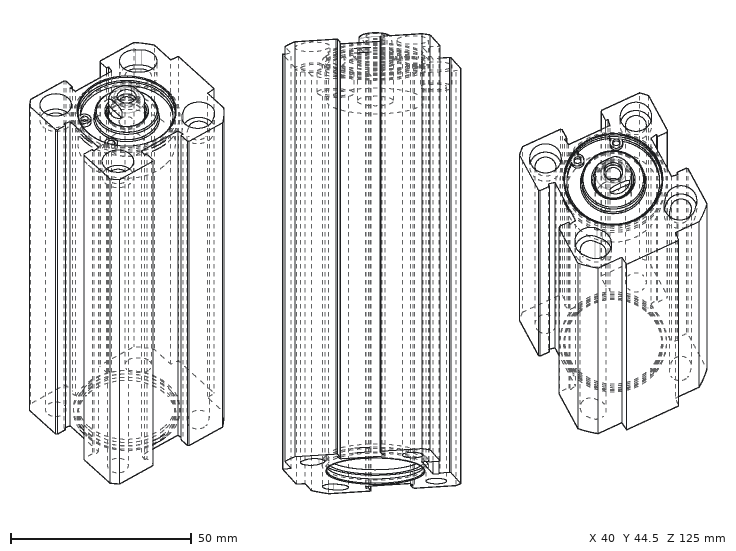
import cadquery as cq
import math


total_height = 125.0
barrel_width = 40.0
rod_projection = 5.8
barrel_height = total_height - rod_projection
half_width = barrel_width / 2

corner_radius = 27.0
back_face_y = 22.0
rib_face_y = 24.5
rib_face_width = 16.1
rib_base_width = 16.6

groove_depth = 5.1
groove_lip = 3.2
groove_mouth_width = 12.0
groove_lip_width = 13.5
groove_floor_width = 12.8
groove_edge_chamfer = 0.4

hole_pitch = 28.0
hole_diameter = 5.8
counterbore_diameter = 8.8
counterbore_depth = 6.0
back_slot_shift_x = 1.0
back_slot_shift_y = 1.2

bore_diameter = 27.0
bore_mouth_chamfer = 0.2
collar_length = 10.0
bottom_recess_floor = 1.2

ring_depth = 1.5
ring_thickness = 1.4
ring_outer_diameter = 29.5
ring_inner_diameter = 25.8
ring_gap_half_angle = 22.0
ear_diameter = 3.6
ear_hole_diameter = 2.0
ear_x = 6.0
ear_y = -10.1

boss_diameter = 17.5
boss_edge = 0.4
wiper_diameter = 11.4
wiper_mouth_chamfer = 0.4
wiper_depth = 1.0
seal_diameter = 10.5
seal_depth = 2.0

rod_diameter = 10.0
rod_end_fillet = 1.5
across_flats = 8.0
flat_length = 3.6
thread_relief_diameter = 5.2
thread_relief_depth = 1.6
thread_diameter = 4.1
thread_depth = 10.0
drill_point_angle = 118.0

ring_bottom_z = barrel_height - ring_depth - ring_thickness
recess_bottom_z = ring_bottom_z - collar_length
flat_depth = (rod_diameter - across_flats) / 2


def cylinder(diameter, bottom_z, height):
    return cq.Workplane("XY").workplane(offset=bottom_z).circle(diameter / 2).extrude(height)


def barrel_blank():
    block = (
        cq.Workplane("XY")
        .rect(barrel_width, half_width + back_face_y)
        .extrude(barrel_height)
        .translate((0, (back_face_y - half_width) / 2, 0))
    )
    rounded = block.intersect(cylinder(2 * corner_radius, 0, barrel_height))
    rib = (
        cq.Workplane("XY")
        .polyline([
            (-rib_base_width / 2, 0),
            (-rib_base_width / 2, back_face_y),
            (-rib_face_width / 2, rib_face_y),
            (rib_face_width / 2, rib_face_y),
            (rib_base_width / 2, back_face_y),
            (rib_base_width / 2, 0),
        ])
        .close()
        .extrude(barrel_height)
    )
    return rounded.union(rib)


def side_groove(angle):
    """Cutter for a groove open on the -Y side, turned about the rod axis by angle."""
    lip_y = -half_width + groove_lip
    floor_y = -half_width + groove_depth
    right_half = [
        (groove_mouth_width / 2 + groove_edge_chamfer, -half_width),
        (groove_mouth_width / 2, -half_width + groove_edge_chamfer),
        (groove_mouth_width / 2, lip_y),
        (groove_lip_width / 2, lip_y),
        (groove_floor_width / 2, floor_y),
    ]
    left_half = [(-x, y) for x, y in reversed(right_half)]
    groove = cq.Workplane("XY").polyline(right_half + left_half).close().extrude(barrel_height)
    return groove.rotate((0, 0, 0), (0, 0, 1), angle)


def slotted_cutter(diameter, start, end, bottom_z, height):
    """Cylinder swept in a straight line from start to end; a plain cylinder if they coincide."""
    length = math.dist(start, end)
    if length == 0:
        return cylinder(diameter, bottom_z, height).translate((*start, 0))
    angle = math.degrees(math.atan2(end[1] - start[1], end[0] - start[0]))
    middle = ((start[0] + end[0]) / 2, (start[1] + end[1]) / 2)
    return (
        cq.Workplane("XY")
        .workplane(offset=bottom_z)
        .center(*middle)
        .slot2D(length + diameter, diameter, angle)
        .extrude(height)
    )


def mounting_hole(side_x, side_y):
    """Cutter for one counterbored hole; the two at the back (+Y) are short slanted slots."""
    start = (side_x * hole_pitch / 2, side_y * hole_pitch / 2)
    end = start
    if side_y > 0:
        end = (start[0] - side_x * back_slot_shift_x, start[1] + back_slot_shift_y)
    through = slotted_cutter(hole_diameter, start, end, 0, barrel_height)
    seat_z = barrel_height - counterbore_depth
    return through.union(slotted_cutter(counterbore_diameter, start, end, seat_z, counterbore_depth))


def end_recess(depth_below_ring):
    """Cutter for a recess in the top end: bevelled mouth, ring groove and bore."""
    bore = bore_diameter / 2
    groove = ring_outer_diameter / 2
    ring_top_z = ring_bottom_z + ring_thickness
    return (
        cq.Workplane("XZ")
        .polyline([
            (0, barrel_height),
            (bore + bore_mouth_chamfer, barrel_height),
            (bore, barrel_height - bore_mouth_chamfer),
            (bore, ring_top_z),
            (groove, ring_top_z),
            (groove, ring_bottom_z),
            (bore, ring_bottom_z),
            (bore, ring_bottom_z - depth_below_ring),
            (0, ring_bottom_z - depth_below_ring),
        ])
        .close()
        .revolve(360, (0, 0), (0, 1))
    )


def make_barrel():
    barrel = barrel_blank()
    for angle in (0, 90, -90):
        barrel = barrel.cut(side_groove(angle))
    for side_x in (-1, 1):
        for side_y in (-1, 1):
            barrel = barrel.cut(mounting_hole(side_x, side_y))
    mid_height = (0, 0, barrel_height / 2)
    top_recess = end_recess(collar_length)
    bottom_recess = end_recess(bottom_recess_floor).mirror("XY", basePointVector=mid_height)
    return barrel.cut(top_recess).cut(bottom_recess)


def make_ring():
    ring = cylinder(ring_outer_diameter, ring_bottom_z, ring_thickness)
    ring = ring.cut(cylinder(ring_inner_diameter, ring_bottom_z, ring_thickness))
    gap_reach = 2 * ring_outer_diameter
    gap_half_width = gap_reach * math.tan(math.radians(ring_gap_half_angle))
    gap = (
        cq.Workplane("XY")
        .workplane(offset=ring_bottom_z)
        .polyline([(0, 0), (-gap_half_width, -gap_reach), (gap_half_width, -gap_reach)])
        .close()
        .extrude(ring_thickness)
    )
    ring = ring.cut(gap)
    bore = cylinder(bore_diameter, ring_bottom_z, ring_thickness)
    for side_x in (-1, 1):
        centre = (side_x * ear_x, ear_y, 0)
        ear = cylinder(ear_diameter, ring_bottom_z, ring_thickness).translate(centre)
        hole = cylinder(ear_hole_diameter, ring_bottom_z, ring_thickness).translate(centre)
        ring = ring.union(ear.intersect(bore)).cut(hole)
    return ring


def make_collar():
    inner = rod_diameter / 2
    wiper = wiper_diameter / 2
    boss = boss_diameter / 2
    outer = bore_diameter / 2
    seal = seal_diameter / 2
    wiper_z = barrel_height - wiper_depth
    seal_z = barrel_height - seal_depth
    return (
        cq.Workplane("XZ")
        .polyline([
            (inner, recess_bottom_z),
            (outer, recess_bottom_z),
            (outer, ring_bottom_z),
            (boss + boss_edge, ring_bottom_z),
            (boss, ring_bottom_z + boss_edge),
            (boss, barrel_height - boss_edge),
            (boss - boss_edge, barrel_height),
            (wiper + wiper_mouth_chamfer, barrel_height),
            (wiper, barrel_height - wiper_mouth_chamfer),
            (wiper, wiper_z),
            (seal, wiper_z),
            (seal, seal_z),
            (inner, seal_z),
        ])
        .close()
        .revolve(360, (0, 0), (0, 1))
    )


def wrench_flat(side_y):
    """Cutter for one flat; its lower end runs out of the rod at 45 degrees."""
    flat_y = across_flats / 2
    flat_z = total_height - flat_length
    cutter = (
        cq.Workplane("YZ")
        .polyline([
            (flat_y, total_height),
            (flat_y, flat_z),
            (flat_y + flat_depth, flat_z - flat_depth),
            (flat_y + flat_depth, total_height),
        ])
        .close()
        .extrude(rod_diameter / 2, both=True)
    )
    return cutter if side_y > 0 else cutter.mirror("XZ")


def thread_hole():
    """Cutter: relief at the mouth, 45-degree taper, tapping bore and drill point."""
    relief = thread_relief_diameter / 2
    bore = thread_diameter / 2
    relief_z = total_height - thread_relief_depth
    taper_height = relief - bore
    bottom_z = total_height - thread_depth
    point_height = bore / math.tan(math.radians(drill_point_angle / 2))
    return (
        cq.Workplane("XZ")
        .polyline([
            (0, bottom_z - point_height),
            (bore, bottom_z),
            (bore, relief_z - taper_height),
            (relief, relief_z),
            (relief, total_height),
            (0, total_height),
        ])
        .close()
        .revolve(360, (0, 0), (0, 1))
    )


def make_rod():
    rod = cylinder(rod_diameter, recess_bottom_z, total_height - recess_bottom_z)
    rod = rod.faces(">Z").edges().fillet(rod_end_fillet)
    for side_y in (-1, 1):
        rod = rod.cut(wrench_flat(side_y))
    return rod.cut(thread_hole())


barrel = make_barrel()
ring = make_ring()
collar = make_collar()
rod = make_rod()

result = cq.Compound.makeCompound([barrel.val(), ring.val(), collar.val(), rod.val()])